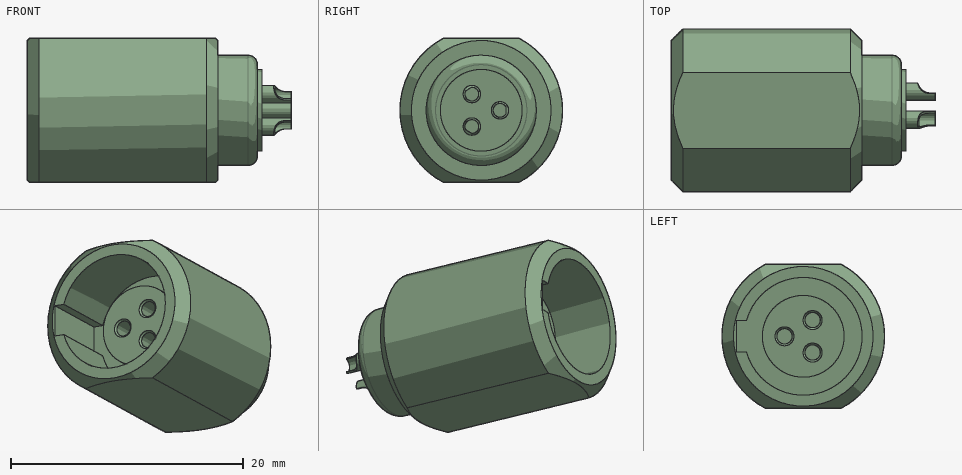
import cadquery as cq
import math

total_length = 22.7

shell_radius = 7.003
shell_length = 16.4
shell_chamfer = 1.0
across_flats = 12.4

cavity_radius = 5.06
cavity_depth = 7.0
keyway_width = 2.72
keyway_reach = 5.75

collar_radius = 4.75
collar_end = 19.8
collar_fillet = 0.82
insulator_radius = 3.52
insulator_start = 4.6
insulator_end = 20.2

contact_count = 3
contact_circle_radius = 1.61
contact_radius = 0.75
socket_radius = 0.65
socket_depth = 3.0
socket_chamfer = 0.15

cup_radius = 0.6
cup_depth = 1.4
scoop_radius = 1.14
scoop_straight = 0.45


def rod(start, end, radius, y=0.0, z=0.0):
    """Cylinder parallel to X between two X positions."""
    return cq.Workplane("YZ", origin=(start, y, z)).circle(radius).extrude(end - start)


def contact_centres():
    """Contact positions as (Y, Z), the first one on +Y."""
    angles = [2 * math.pi * i / contact_count for i in range(contact_count)]
    return [(contact_circle_radius * math.cos(a), contact_circle_radius * math.sin(a)) for a in angles]


def make_shell():
    """Chamfered barrel with flats on top and bottom."""
    barrel = rod(0, shell_length, shell_radius).edges().chamfer(shell_chamfer)
    flats = cq.Workplane("XY").box(
        shell_length, 2 * shell_radius, across_flats, centered=(False, True, True)
    )
    return barrel.intersect(flats)


def make_cavity():
    """Round mating cavity with a keyway on its +Y side."""
    keyway = cq.Workplane("XY").box(
        cavity_depth, keyway_reach, keyway_width, centered=(False, False, True)
    )
    return rod(0, cavity_depth, cavity_radius).union(keyway)


def make_collar():
    """Collar with a rounded end."""
    return rod(cavity_depth, collar_end, collar_radius).faces(">X").edges().fillet(collar_fillet)


def make_scoop():
    """Ring that opens the outward side of all solder cups, leading in along an arc."""
    outer_radius = contact_circle_radius + contact_radius
    rise = outer_radius - contact_circle_radius
    arc_end = total_length - scoop_straight

    def arc_point(height):
        run = math.sqrt(scoop_radius**2 - (scoop_radius - height) ** 2)
        return arc_end - run, contact_circle_radius + height

    return (
        cq.Workplane("XY")
        .moveTo(*arc_point(rise))
        .threePointArc(arc_point(rise / 4), (arc_end, contact_circle_radius))
        .lineTo(total_length, contact_circle_radius)
        .lineTo(total_length, outer_radius)
        .close()
        .revolve(360, (0, 0, 0), (1, 0, 0))
    )


def make_socket(y, z):
    """Blind contact hole in the insulator face with a chamfered mouth."""
    mouth = cq.Workplane(
        cq.Solid.makeCone(
            socket_radius + socket_chamfer,
            socket_radius,
            socket_chamfer,
            cq.Vector(insulator_start, y, z),
            cq.Vector(1, 0, 0),
        )
    )
    return rod(insulator_start, insulator_start + socket_depth, socket_radius, y, z).union(mouth)


result = make_shell().union(make_collar()).cut(make_cavity())
result = result.union(rod(insulator_start, insulator_end, insulator_radius))
for y, z in contact_centres():
    cup = rod(total_length - cup_depth, total_length, cup_radius, y, z)
    pin = rod(collar_end, total_length, contact_radius, y, z).cut(cup)
    result = result.union(pin).cut(make_socket(y, z))
result = result.cut(make_scoop())